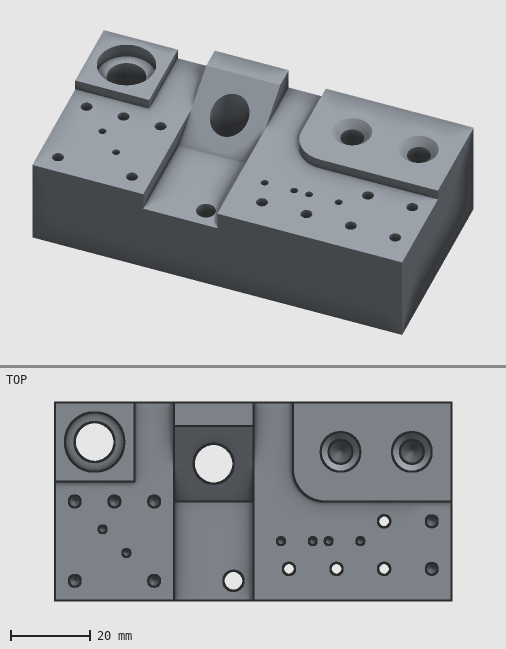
import cadquery as cq
import math

LENGTH = 100.0
WIDTH = 50.0
DECK_Z = 25.0

PAD_HEIGHT = 3.0
PAD_TOP_Z = DECK_Z + PAD_HEIGHT
SQUARE_PAD_SIDE = 20.0
LONG_PAD_LENGTH = 40.0
LONG_PAD_WIDTH = 25.0
LONG_PAD_CORNER_RADIUS = 8.0

CHANNEL_X = 30.0
CHANNEL_WIDTH = 20.0
CHANNEL_FLOOR_Z = 20.0
WEDGE_TOP_Z = 31.0
WEDGE_TOE_Y = 25.0
WEDGE_ANGLE = 30.0
WEDGE_RUN = (WEDGE_TOP_Z - CHANNEL_FLOOR_Z) / math.tan(math.radians(WEDGE_ANGLE))

WEDGE_HOLE_DIAMETER = 10.0
WEDGE_HOLE_CENTER = (CHANNEL_X + CHANNEL_WIDTH / 2, WEDGE_TOE_Y + WEDGE_RUN / 2)
CHANNEL_HOLE_DIAMETER = 5.0
CHANNEL_HOLE_CENTER = (45.0, 5.0)
BORE_DIAMETER = 10.0
BORE_CENTER = (SQUARE_PAD_SIDE / 2, WIDTH - SQUARE_PAD_SIDE / 2)
COUNTERBORE_DIAMETER = 15.0
COUNTERBORE_DEPTH = 4.0

SUNK_HOLE_DIAMETER = 6.0
SUNK_HOLE_DEPTH = 15.0
COUNTERSINK_DIAMETER = 10.0
COUNTERSINK_ANGLE = 90.0
SUNK_HOLE_CENTERS = [(72.0, WIDTH - LONG_PAD_WIDTH / 2), (90.0, WIDTH - LONG_PAD_WIDTH / 2)]

DRILL_POINT_ANGLE = 118.0
BLIND_DEPTH = 10.0
SCREW_DIAMETER = 3.0
PIN_DIAMETER = 2.0
BLIND_SCREW_CENTERS = [(5, 5), (25, 5), (5, 25), (15, 25), (25, 25), (95, 8), (95, 20)]
THROUGH_SCREW_CENTERS = [(59, 8), (71, 8), (83, 8), (83, 20)]
PIN_CENTERS = [(12, 18), (18, 12), (57, 15), (65, 15), (69, 15), (77, 15)]


def box(x, y, z, length, width, height):
    """Box with its lowest corner at (x, y, z)."""
    return cq.Workplane("XY").box(length, width, height, centered=False).translate((x, y, z))


def through_holes(centers, diameter):
    """Vertical cylinders running the full height of the part."""
    return cq.Workplane("XY").pushPoints(centers).circle(diameter / 2).extrude(WEDGE_TOP_Z)


def cone_depth(diameter, included_angle):
    """Height of a full cone with this base diameter and included angle."""
    return diameter / 2 / math.tan(math.radians(included_angle / 2))


def drilled_holes(centers, diameter, top_z, depth, sink_diameter=None):
    """Blind holes with a conical drill point, and a countersink if one is given."""
    radius = diameter / 2
    floor_z = top_z - depth
    tip_z = floor_z - cone_depth(diameter, DRILL_POINT_ANGLE)
    profile = cq.Workplane("XZ").moveTo(0, tip_z).lineTo(radius, floor_z)
    if sink_diameter is None:
        profile = profile.lineTo(radius, top_z)
    else:
        sink_depth = cone_depth(sink_diameter - diameter, COUNTERSINK_ANGLE)
        profile = profile.lineTo(radius, top_z - sink_depth).lineTo(sink_diameter / 2, top_z)
    drill = profile.lineTo(0, top_z).close().revolve(360, (0, 0), (0, 1)).val()
    return cq.Workplane("XY").pushPoints(centers).eachpoint(drill)


def make_wedge():
    """Block at the rear of the channel with a sloped front face."""
    return (
        cq.Workplane("YZ", origin=(CHANNEL_X, 0, 0))
        .moveTo(WEDGE_TOE_Y, CHANNEL_FLOOR_Z)
        .lineTo(WIDTH, CHANNEL_FLOOR_Z)
        .lineTo(WIDTH, WEDGE_TOP_Z)
        .lineTo(WEDGE_TOE_Y + WEDGE_RUN, WEDGE_TOP_Z)
        .close()
        .extrude(CHANNEL_WIDTH)
    )


def make_long_pad():
    """Pad in the right rear corner with one rounded inner corner."""
    pad = box(
        LENGTH - LONG_PAD_LENGTH, WIDTH - LONG_PAD_WIDTH, DECK_Z,
        LONG_PAD_LENGTH, LONG_PAD_WIDTH, PAD_HEIGHT,
    )
    return pad.edges("|Z").edges("<X").edges("<Y").fillet(LONG_PAD_CORNER_RADIUS)


def make_body():
    """Block with its channel, wedge and pads, before drilling."""
    block = box(0, 0, 0, LENGTH, WIDTH, DECK_Z)
    channel = box(CHANNEL_X, 0, CHANNEL_FLOOR_Z, CHANNEL_WIDTH, WIDTH, DECK_Z - CHANNEL_FLOOR_Z)
    square_pad = box(
        0, WIDTH - SQUARE_PAD_SIDE, DECK_Z,
        SQUARE_PAD_SIDE, SQUARE_PAD_SIDE, PAD_HEIGHT,
    )
    return block.cut(channel).union(make_wedge()).union(square_pad).union(make_long_pad())


def cut_large_holes(body):
    """Holes through the wedge and the channel, and the counterbored hole in the square pad."""
    counterbore = (
        cq.Workplane("XY", origin=(0, 0, PAD_TOP_Z))
        .pushPoints([BORE_CENTER])
        .circle(COUNTERBORE_DIAMETER / 2)
        .extrude(-COUNTERBORE_DEPTH)
    )
    return (
        body.cut(through_holes([WEDGE_HOLE_CENTER], WEDGE_HOLE_DIAMETER))
        .cut(through_holes([CHANNEL_HOLE_CENTER], CHANNEL_HOLE_DIAMETER))
        .cut(through_holes([BORE_CENTER], BORE_DIAMETER))
        .cut(counterbore)
    )


def cut_small_holes(body):
    """Countersunk holes in the long pad, and screw and pin holes in the deck."""
    sunk_holes = drilled_holes(
        SUNK_HOLE_CENTERS, SUNK_HOLE_DIAMETER, PAD_TOP_Z, SUNK_HOLE_DEPTH, COUNTERSINK_DIAMETER
    )
    return (
        body.cut(sunk_holes)
        .cut(drilled_holes(BLIND_SCREW_CENTERS, SCREW_DIAMETER, DECK_Z, BLIND_DEPTH))
        .cut(through_holes(THROUGH_SCREW_CENTERS, SCREW_DIAMETER))
        .cut(drilled_holes(PIN_CENTERS, PIN_DIAMETER, DECK_Z, BLIND_DEPTH))
    )


result = cut_small_holes(cut_large_holes(make_body()))